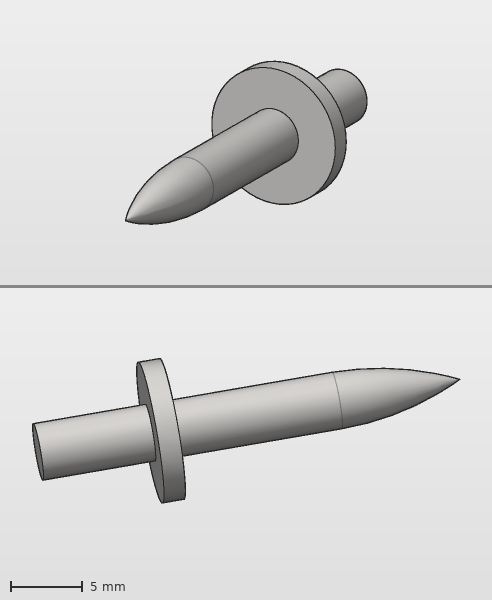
import cadquery as cq
import math

total_length = 30.0
shaft_radius = 2.0
collar_diameter = 10.0
collar_radius = collar_diameter / 2
collar_thickness = 1.53
tail_length = 7.98
ogive_radius = 20.0

arc_center_x = shaft_radius - ogive_radius
point_length = math.sqrt(ogive_radius**2 - arc_center_x**2)
shoulder_y = point_length
tail_y = total_length
collar_back_y = tail_y - tail_length
collar_front_y = collar_back_y - collar_thickness

mid_angle = math.asin(point_length / ogive_radius) / 2
arc_mid = (
    arc_center_x + ogive_radius * math.cos(mid_angle),
    shoulder_y - ogive_radius * math.sin(mid_angle),
)

half_profile = (
    cq.Workplane("XY")
    .moveTo(0, 0)
    .threePointArc(arc_mid, (shaft_radius, shoulder_y))
    .lineTo(shaft_radius, collar_front_y)
    .lineTo(collar_radius, collar_front_y)
    .lineTo(collar_radius, collar_back_y)
    .lineTo(shaft_radius, collar_back_y)
    .lineTo(shaft_radius, tail_y)
    .lineTo(0, tail_y)
    .close()
)

result = half_profile.revolve(360, (0, 0, 0), (0, 1, 0))